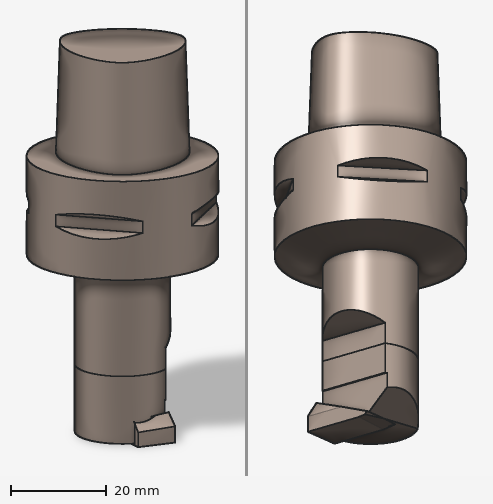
import cadquery as cq
import math

total_length = 84.1
shank_height = 24.0
tool_bottom = shank_height - total_length

shank_base_radius = 13.95
shank_tip_radius = 13.1
lobe_height = 0.9
outline_points = 36

flange_radius = 20.0
neck_radius = 10.0
flange_bottom = -21.35
cone_bottom = -23.95
neck_bottom = -45.0

slot_z = -10.0
slot_floor_height = 2.5
slot_floor_distance = 17.65
slot_wall_angle = 30.0
slot_count = 4
first_slot_angle = 45.0

flat_y = 5.8
flat_ramp_top = -37.1
flat_ramp_bottom = -40.35
seat_y = 5.5
seat_top = -51.6

head_bottom = -59.6
relief_corner_x = -6.9
relief_corner_y = -7.2
relief_slope_x = -0.93
relief_slope_y = 0.26

insert_back_y = -2.5
insert_face_y = 6.0
insert_right = 11.85
insert_side_top = -56.5
insert_peak_x = neck_radius
insert_peak_z = -53.7
insert_left = -4.5
insert_heel_x = -1.5
side_clearance = 0.63
peak_clearance = 1.1

cut_margin = 4.2


def cylinder(radius, bottom, top):
    return cq.Workplane("XY").workplane(offset=bottom).circle(radius).extrude(top - bottom)


def lobed_point(mean_radius, angle):
    """Point on a constant-width curve with support distance R + e*cos(3*angle)."""
    support = mean_radius + lobe_height * math.cos(3 * angle)
    tangent = -3 * lobe_height * math.sin(3 * angle)
    along_lobe = support * math.cos(angle) - tangent * math.sin(angle)
    across_lobe = support * math.sin(angle) + tangent * math.cos(angle)
    return (-across_lobe, along_lobe)


def lobed_wire(mean_radius, z):
    angles = [2 * math.pi * i / outline_points for i in range(outline_points)]
    points = [cq.Vector(*lobed_point(mean_radius, angle), z) for angle in angles]
    return cq.Wire.assembleEdges([cq.Edge.makeSpline(points, periodic=True)])


def make_shank():
    base = lobed_wire(shank_base_radius, 0)
    tip = lobed_wire(shank_tip_radius, shank_height)
    return cq.Workplane(cq.Solid.makeLoft([base, tip], True))


def gripper_slot(angle):
    """Straight trapezoidal slot, wider toward the outside."""
    outer = flange_radius + cut_margin
    floor_half = slot_floor_height / 2
    mouth_half = floor_half + (outer - slot_floor_distance) * math.tan(math.radians(slot_wall_angle))
    return (
        cq.Workplane("XZ")
        .moveTo(slot_floor_distance, slot_z - floor_half)
        .lineTo(outer, slot_z - mouth_half)
        .lineTo(outer, slot_z + mouth_half)
        .lineTo(slot_floor_distance, slot_z + floor_half)
        .close()
        .extrude(flange_radius, both=True)
        .rotate((0, 0, 0), (0, 0, 1), angle)
    )


def flat_cutter():
    """Chip space on +Y: a ramp, the flat and a slightly deeper seat at the tip."""
    outside = neck_radius + cut_margin
    below = tool_bottom - cut_margin
    return (
        cq.Workplane("YZ")
        .moveTo(neck_radius, flat_ramp_top)
        .lineTo(flat_y, flat_ramp_bottom)
        .lineTo(flat_y, seat_top)
        .lineTo(seat_y, seat_top)
        .lineTo(seat_y, below)
        .lineTo(outside, below)
        .lineTo(outside, flat_ramp_top)
        .close()
        .extrude(outside, both=True)
    )


def make_holder():
    body = (
        cq.Workplane("XZ")
        .lineTo(flange_radius, 0)
        .lineTo(flange_radius, flange_bottom)
        .lineTo(neck_radius, cone_bottom)
        .lineTo(neck_radius, neck_bottom)
        .lineTo(0, neck_bottom)
        .close()
        .revolve(360, (0, 0), (0, 1))
    )
    for i in range(slot_count):
        body = body.cut(gripper_slot(first_slot_angle + i * 360 / slot_count))
    return body.union(make_shank()).cut(flat_cutter())


def relief_cutter():
    """Block below the tilted relief plane on the -X side of the head tip."""
    normal = (relief_slope_x, relief_slope_y, -1)
    plane = cq.Plane((relief_corner_x, relief_corner_y, head_bottom), (0, 1, relief_slope_y), normal)
    size = 4 * flange_radius
    return cq.Workplane(plane).rect(size, size).extrude(size)


def insert_wire(y, side_inset, peak_drop):
    """Insert outline in a plane of constant Y, stepped in along its exposed flank by the clearances."""
    points = [
        (insert_left, head_bottom),
        (insert_heel_x, tool_bottom),
        (insert_right - side_inset, tool_bottom),
        (insert_right - side_inset, insert_side_top - side_inset / 2),
        (insert_peak_x - side_inset, insert_peak_z - peak_drop),
    ]
    return cq.Wire.makePolygon([cq.Vector(x, y, z) for x, z in points], close=True)


def face_cutter():
    """Removes the front of the insert so its rake face leans back toward the seat."""
    outside = insert_face_y + cut_margin
    return (
        cq.Workplane("YZ")
        .moveTo(insert_face_y, insert_side_top)
        .lineTo(seat_y, insert_peak_z)
        .lineTo(outside, insert_peak_z)
        .lineTo(outside, insert_side_top)
        .close()
        .extrude(2 * insert_right, both=True)
    )


def make_insert():
    back = insert_wire(insert_back_y, side_clearance, peak_clearance)
    face = insert_wire(insert_face_y, 0, 0)
    return cq.Workplane(cq.Solid.makeLoft([back, face], True)).cut(face_cutter()).cut(relief_cutter())


def make_head(seated_insert):
    head = cylinder(neck_radius, head_bottom, neck_bottom)
    return head.cut(flat_cutter()).cut(relief_cutter()).cut(seated_insert)


holder = make_holder()
insert = make_insert()
head = make_head(insert)

bodies = [holder, head, insert]
result = cq.Compound.makeCompound([body.solids().val() for body in bodies])